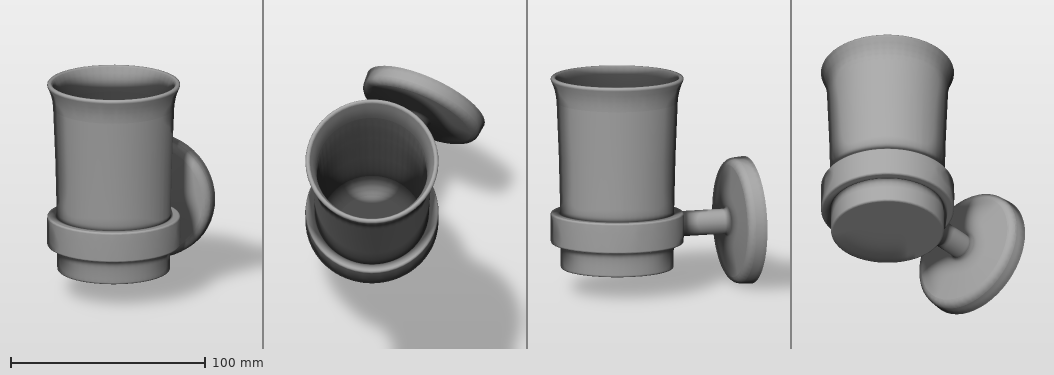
import cadquery as cq
import math


total_height = 111.8
total_depth = 105.1
total_width = 69.0

plate_radius = 33.0
plate_corner_radius = 32.2
plate_corner_height = 9.2
plate_center_height = 11.9
plate_edge_fillet = 3.8
post_radius = 6.5
post_fillet = 1.3

ring_width = 15.9
ring_mid_radius = total_width / 2
ring_bulge = 0.3
ring_edge_fillet = 1.0

cup_height = 100.0
cup_foot_radius = 29.1
cup_wall = 2.5
cup_body_height = 86.8
cup_body_growth = 2.1
flare_radius = 29.1
foot_fillet = 1.0
floor_fillet = 7.8

wall_y = total_depth - ring_mid_radius
cup_top = total_height - plate_radius
cup_bottom = cup_top - cup_height

body_radius = (cup_body_height**2 + cup_body_growth**2) / (2 * cup_body_growth)
body_center = (cup_foot_radius + body_radius, cup_bottom)
body_end_angle = math.asin(cup_body_height / body_radius)
flare_center = (
    body_center[0] - (body_radius - flare_radius) * math.cos(body_end_angle),
    body_center[1] + (body_radius - flare_radius) * math.sin(body_end_angle),
)
rim_radius = cup_wall / 2
rim_center_z = cup_top - rim_radius
rim_angle = math.asin((rim_center_z - flare_center[1]) / (flare_radius + rim_radius))
flare_mid_angle = (body_end_angle + rim_angle) / 2


def arc_point(center, radius, angle):
    """Point on the axis side of an arc center, raised by the angle."""
    return (center[0] - radius * math.cos(angle), center[1] + radius * math.sin(angle))


def body_point(inset, angle):
    """Point of the cup body, inset from the outer face."""
    return arc_point(body_center, body_radius + inset, angle)


def flare_point(inset, angle):
    """Point of the cup flare, inset from the outer face."""
    return arc_point(flare_center, flare_radius + inset, angle)


def revolve_about_z(profile):
    return profile.revolve(360, (0, 0, 0), (0, 1, 0))


def circle_centered_near(body, point):
    """Circular edge whose center lies nearest to the point."""
    return body.edges("%CIRCLE").edges(cq.selectors.NearestToPointSelector(point))


def cup_outer_outline():
    """Open outline from the axis across the foot and up the outer face to the lip."""
    return (
        cq.Workplane("XZ")
        .moveTo(0, cup_bottom)
        .lineTo(cup_foot_radius, cup_bottom)
        .threePointArc(body_point(0, body_end_angle / 2), body_point(0, body_end_angle))
        .threePointArc(flare_point(0, flare_mid_angle), flare_point(0, rim_angle))
    )


def make_cup_blank():
    """Solid form of the cup's outside, with a flat top at the outer lip."""
    lip_z = flare_point(0, rim_angle)[1]
    return revolve_about_z(cup_outer_outline().lineTo(0, lip_z).close())


def make_cup():
    """Thin-walled cup with a rounded rim, foot and floor corner."""
    floor_z = cup_bottom + cup_wall
    floor_angle = math.asin(cup_wall / (body_radius + cup_wall))
    rim_center = flare_point(rim_radius, rim_angle)
    rim_tip = (
        rim_center[0] + rim_radius * math.sin(rim_angle),
        rim_center[1] + rim_radius * math.cos(rim_angle),
    )
    inner_mid_angle = (floor_angle + body_end_angle) / 2
    profile = (
        cup_outer_outline()
        .threePointArc(rim_tip, flare_point(cup_wall, rim_angle))
        .threePointArc(flare_point(cup_wall, flare_mid_angle), flare_point(cup_wall, body_end_angle))
        .threePointArc(body_point(cup_wall, inner_mid_angle), body_point(cup_wall, floor_angle))
        .lineTo(0, floor_z)
        .close()
    )
    cup = revolve_about_z(profile)
    cup = circle_centered_near(cup, (0, 0, cup_bottom)).fillet(foot_fillet)
    return circle_centered_near(cup, (0, 0, floor_z)).fillet(floor_fillet)


def make_ring_blank():
    """Solid barrel with the ring's outside shape."""
    end_radius = ring_mid_radius - ring_bulge
    half_width = ring_width / 2
    profile = (
        cq.Workplane("XZ")
        .moveTo(0, -half_width)
        .lineTo(end_radius, -half_width)
        .threePointArc((ring_mid_radius, 0), (end_radius, half_width))
        .lineTo(0, half_width)
        .close()
    )
    return revolve_about_z(profile)


def make_ring():
    """Ring whose bore fits the cup, with all its rims rounded."""
    ring = make_ring_blank().cut(make_cup_blank())
    return ring.faces("<Z or >Z").edges().fillet(ring_edge_fillet)


def make_wall_mount():
    """Round wall plate with a post that ends on the outside of the ring."""
    plate = (
        cq.Workplane("XY")
        .moveTo(0, wall_y)
        .lineTo(plate_radius, wall_y)
        .lineTo(plate_corner_radius, wall_y - plate_corner_height)
        .lineTo(0, wall_y - plate_center_height)
        .close()
        .revolve(360, (0, 0, 0), (0, 1, 0))
    )
    corner_center = (0, wall_y - plate_corner_height, 0)
    plate = circle_centered_near(plate, corner_center).fillet(plate_edge_fillet)

    post = cq.Workplane("XZ").circle(post_radius).extrude(-wall_y)
    mount = plate.union(post)
    junction_center = (0, wall_y - plate_center_height, 0)
    mount = circle_centered_near(mount, junction_center).fillet(post_fillet)
    return mount.cut(make_ring_blank())


cup = make_cup()
ring = make_ring()
wall_mount = make_wall_mount()

result = cq.Compound.makeCompound([cup.val(), ring.val(), wall_mount.val()])